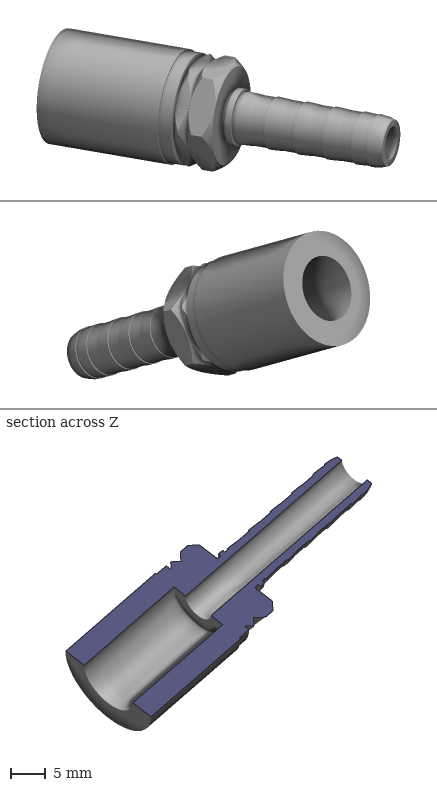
import cadquery as cq
import math


total_length = 52.0
sleeve_diameter = 17.0
sleeve_radius = sleeve_diameter / 2
sleeve_end = 19.0
collar_radius = 8.25
collar_end = 21.0

hex_flat_radius = 7.35
hex_corner_radius = hex_flat_radius / math.cos(math.pi / 6)
hex_groove = 23.0
hex_end = 27.0
collar_side_radius = 7.4
bevel_root_radius = 7.3

neck_radius = 3.75
ring_start = 27.6
ring_end = 28.6
ring_radius = 4.2
first_barb = 29.15
last_barb = 47.3
barb_count = 5
barb_pitch = (last_barb - first_barb) / (barb_count - 1)
barb_length = 2.35
barb_radius = 3.9
tip_radius = 3.45

bore_diameter = 5.0
socket_diameter = 9.6
socket_depth = sleeve_end


def cylinder(start, end, radius):
    """Solid cylinder on the X axis between two stations."""
    return cq.Workplane("YZ", origin=(start, 0, 0)).circle(radius).extrude(end - start)


def revolve_about_x(profile):
    """Close an XY half profile and turn it a full circle about the X axis."""
    return profile.close().revolve(360, (0, 0, 0), (1, 0, 0))


def bevelled_band(start, end, start_radius, end_radius):
    """Hexagonal band with corners along Y, trimmed by a 45 degree cone from each end."""
    width = end - start
    prism = (
        cq.Workplane("YZ", origin=(start, 0, 0))
        .polygon(6, 2 * hex_corner_radius)
        .extrude(width)
    )
    rise = (width + end_radius - start_radius) / 2
    double_cone = revolve_about_x(
        cq.Workplane("XY")
        .moveTo(start, 0)
        .lineTo(start, start_radius)
        .lineTo(start + rise, start_radius + rise)
        .lineTo(end, end_radius)
        .lineTo(end, 0)
    )
    return prism.intersect(double_cone)


def arc_middle(start, end, end_radius):
    """Middle point of the arc that leaves the barb shoulder parallel to the axis."""
    length = end - start
    drop = barb_radius - end_radius
    arc_radius = (length**2 + drop**2) / (2 * drop)
    half_angle = math.asin(length / arc_radius) / 2
    x = start + arc_radius * math.sin(half_angle)
    return (x, barb_radius - arc_radius * (1 - math.cos(half_angle)))


def barb(start, end, end_radius):
    """Barb with a square shoulder that curves down, starting parallel to the axis."""
    return revolve_about_x(
        cq.Workplane("XY")
        .moveTo(start, 0)
        .lineTo(start, barb_radius)
        .threePointArc(arc_middle(start, end, end_radius), (end, end_radius))
        .lineTo(end, 0)
    )


result = cylinder(0, sleeve_end, sleeve_radius)
result = result.union(cylinder(sleeve_end, collar_end, collar_radius))
result = result.union(bevelled_band(collar_end, hex_groove, collar_side_radius, bevel_root_radius))
result = result.union(bevelled_band(hex_groove, hex_end, bevel_root_radius, bevel_root_radius))

tip_start = last_barb + barb_length
result = result.union(cylinder(hex_end, tip_start, neck_radius))
result = result.union(cylinder(ring_start, ring_end, ring_radius))
for i in range(barb_count):
    start = first_barb + i * barb_pitch
    result = result.union(barb(start, start + barb_length, neck_radius))
result = result.union(barb(tip_start, total_length, tip_radius))

result = result.cut(cylinder(0, total_length, bore_diameter / 2))
result = result.cut(cylinder(0, socket_depth, socket_diameter / 2))